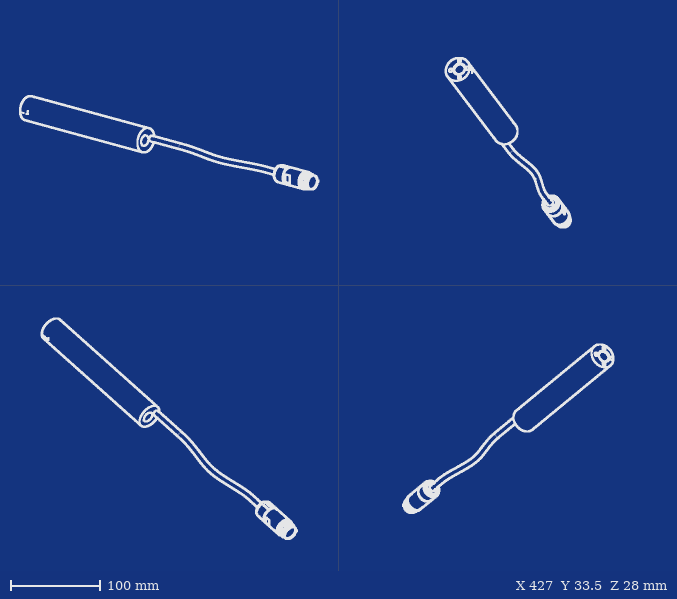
import cadquery as cq

overall_length = 427
overall_width = 33.5

probe_diameter = 28.0
probe_length = 179.5
bore_diameter = 12.0
bore_y = -1.92
bore_mouth_diameter = 13.5
bore_mouth_depth = (bore_mouth_diameter - bore_diameter) / 2

face_hole_circle = 19.5
face_hole_depth = 11.0
side_hole_diameter = 4.0
upright_hole_diameter = 3.3

body_diameter = 20.0

cable_diameter = 7.0
cable_y = overall_width - (probe_diameter + body_diameter) / 2
stub_end_x = 224.0
sag_x = 294.5
sag_y = 1.5
sag_end_x = 346

body_start_x = 374.5
body_end_x = 415.5
chamfer_length = 2.0
chamfer_height = 1.0
collar_end_x = 389.0
neck_diameter = 18.0
neck_end_x = 421.5
tip_groove_diameter = 15.5
tip_groove_end_x = 424.5
tip_diameter = 16.2
tip_end_x = 426.0

groove_width = 1.0
collar_groove_width = 0.5
groove_depth = 0.5
body_groove_start = 413.5
neck_groove_start = 417.0
face_groove_outer_diameter = 15.5
face_groove_inner_diameter = 13.2
face_groove_depth = 1.0

slot_width = 4.3
slot_depth = 1.0
flat_start_x = 392.5
flat_length = 7.0
flat_depth = 1.05
key_diameter = 1.2


def cylinder(start_x, end_x, diameter, y=0, z=0):
    """Solid cylinder along X."""
    section = cq.Workplane("YZ", origin=(start_x, y, z)).circle(diameter / 2)
    return section.extrude(end_x - start_x)


def make_probe():
    tube = cylinder(0, probe_length, probe_diameter)
    tube = tube.cut(cylinder(0, probe_length, bore_diameter, y=bore_y))

    mouth = cq.Solid.makeCone(
        bore_mouth_diameter / 2,
        bore_diameter / 2,
        bore_mouth_depth,
        pnt=cq.Vector(0, bore_y, 0),
        dir=cq.Vector(1, 0, 0),
    )
    tube = tube.cut(cq.Workplane(mouth))

    for side in (-1, 1):
        offset = side * face_hole_circle / 2
        tube = tube.cut(cylinder(0, face_hole_depth, side_hole_diameter, y=bore_y + offset))
        tube = tube.cut(cylinder(0, face_hole_depth, upright_hole_diameter, y=bore_y, z=offset))
    return tube


def make_cable():
    centreline = (
        cq.Workplane("XY")
        .moveTo(probe_length, cable_y)
        .lineTo(stub_end_x, cable_y)
        .spline(
            [(sag_x, sag_y), (sag_end_x, cable_y), (body_start_x, cable_y)],
            tangents=[(1, 0), (1, 0)],
            includeCurrent=True,
        )
    )
    section = cq.Workplane("YZ", origin=(probe_length, cable_y, 0)).circle(cable_diameter / 2)
    return section.sweep(centreline)


def ring_cutter(start_x, outer_diameter, width=groove_width):
    """Ring that cuts a narrow groove into a cylinder of the given diameter."""
    outer = cylinder(start_x, start_x + width, outer_diameter + groove_depth, y=cable_y)
    core_diameter = outer_diameter - 2 * groove_depth
    return outer.cut(cylinder(start_x, start_x + width, core_diameter, y=cable_y))


def make_connector():
    profile = (
        cq.Workplane("XY")
        .moveTo(body_start_x, 0)
        .lineTo(body_start_x, body_diameter / 2 - chamfer_height)
        .lineTo(body_start_x + chamfer_length, body_diameter / 2)
        .lineTo(body_end_x, body_diameter / 2)
        .lineTo(body_end_x, 0)
        .close()
    )
    connector = profile.revolve(360, (0, 0, 0), (1, 0, 0)).translate((0, cable_y, 0))

    connector = connector.union(cylinder(body_end_x, neck_end_x, neck_diameter, y=cable_y))
    connector = connector.union(cylinder(neck_end_x, tip_groove_end_x, tip_groove_diameter, y=cable_y))
    connector = connector.union(cylinder(tip_groove_end_x, tip_end_x, tip_diameter, y=cable_y))

    connector = connector.cut(ring_cutter(collar_end_x, body_diameter, collar_groove_width))
    connector = connector.cut(ring_cutter(body_groove_start, body_diameter))
    connector = connector.cut(ring_cutter(neck_groove_start, neck_diameter))

    face_groove_end_x = body_start_x + face_groove_depth
    face_groove = cylinder(body_start_x, face_groove_end_x, face_groove_outer_diameter, y=cable_y)
    face_core = cylinder(body_start_x, face_groove_end_x, face_groove_inner_diameter, y=cable_y)
    connector = connector.cut(face_groove.cut(face_core))

    slot_length = collar_end_x - body_start_x
    slot = cq.Workplane("XY").box(slot_length, slot_width, 2 * slot_depth, centered=(False, True, True))
    connector = connector.cut(slot.translate((body_start_x, cable_y, body_diameter / 2)))

    flat = cq.Workplane("XY").box(flat_length, 2 * flat_depth, body_diameter, centered=(False, True, True))
    connector = connector.cut(flat.translate((flat_start_x, cable_y - body_diameter / 2, 0)))

    key_y = cable_y + (tip_diameter - key_diameter) / 2
    key = cylinder(tip_groove_end_x, overall_length, key_diameter, y=key_y)
    return connector.union(key)


probe = make_probe()
cable_with_connector = make_cable().union(make_connector())

result = cq.Compound.makeCompound([probe.val(), cable_with_connector.val()])